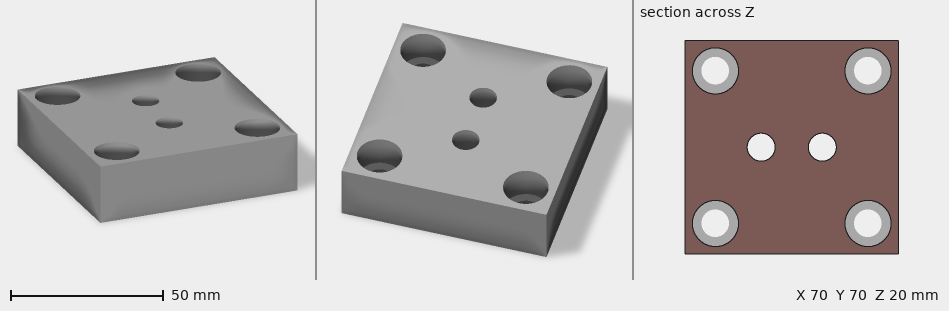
import cadquery as cq

side = 70.0
thickness = 20.0

hole_diameter = 9.0
middle_hole_spacing = 20.0

corner_hole_spacing = 50.0
counterbore_diameter = 15.0
counterbore_depth = 11.0


def make_plate():
    return cq.Workplane("XY").box(side, side, thickness, centered=(True, True, False))


def cut_corner_holes(plate):
    return (
        plate.faces(">Z")
        .workplane(origin=(0, 0, thickness))
        .rarray(corner_hole_spacing, corner_hole_spacing, 2, 2)
        .cboreHole(hole_diameter, counterbore_diameter, counterbore_depth)
    )


def cut_middle_holes(plate):
    half_spacing = middle_hole_spacing / 2
    return (
        plate.faces(">Z")
        .workplane(origin=(0, 0, thickness))
        .pushPoints([(-half_spacing, 0), (half_spacing, 0)])
        .hole(hole_diameter)
    )


result = cut_middle_holes(cut_corner_holes(make_plate()))